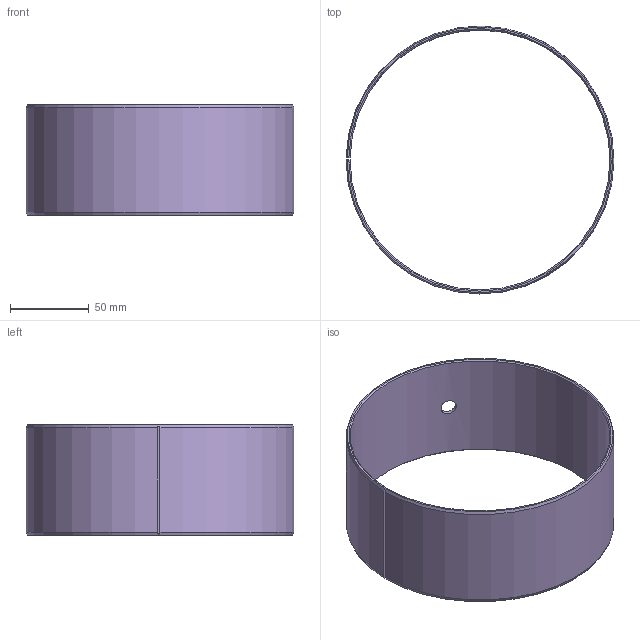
import cadquery as cq
import math

outer_radius = 85.0
wall = 2.5
height = 70.0
inner_radius = outer_radius - wall

gap_angle = 1.0
wall_start_angle = 180.0
wall_end_angle = wall_start_angle - gap_angle
wall_sweep = 360.0 - gap_angle

outer_bevel_height = 1.8
outer_bevel_angle = 20.0
outer_bevel_depth = outer_bevel_height * math.tan(math.radians(outer_bevel_angle))

inner_bevel = 0.8

hole_diameter = 10.0
hole_angle = wall_end_angle - 120.0
hole_height = height / 2


def make_ring():
    """Revolve the wall section from the -X axis, with both rims bevelled outside and inside."""
    section = (
        cq.Workplane("XZ")
        .moveTo(-inner_radius, inner_bevel)
        .lineTo(-inner_radius - inner_bevel, 0)
        .lineTo(-outer_radius + outer_bevel_depth, 0)
        .lineTo(-outer_radius, outer_bevel_height)
        .lineTo(-outer_radius, height - outer_bevel_height)
        .lineTo(-outer_radius + outer_bevel_depth, height)
        .lineTo(-inner_radius - inner_bevel, height)
        .lineTo(-inner_radius, height - inner_bevel)
        .close()
    )
    return section.revolve(wall_sweep, (0, 0, 0), (0, 1, 0))


def make_hole():
    """Cutter for the round hole, pointing outward from the ring axis."""
    angle = math.radians(hole_angle)
    direction = cq.Vector(math.cos(angle), math.sin(angle), 0)
    start = cq.Vector(0, 0, hole_height)
    return cq.Workplane(cq.Solid.makeCylinder(hole_diameter / 2, outer_radius + wall, start, direction))


result = make_ring().cut(make_hole())